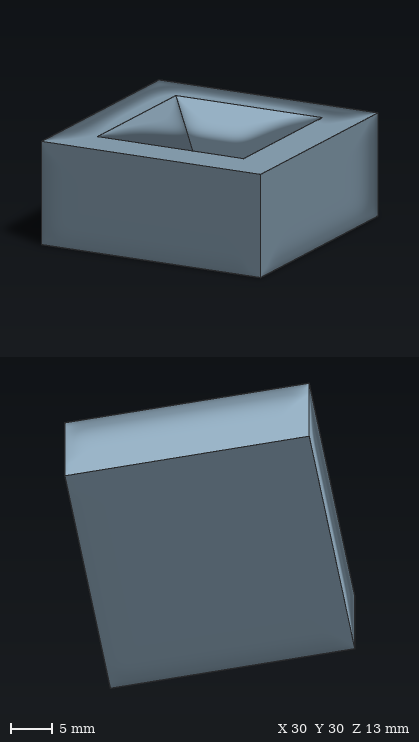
import cadquery as cq

block_side = 30.0
block_height = 13.0
rim_width = block_side / 6
recess_side = block_side - 2 * rim_width
recess_depth = recess_side / 2


def recess_pyramid(side, depth):
    """Solid pyramid with its square base on the block top and its apex pointing down."""
    half = side / 2
    base_z = block_height
    corners = [
        cq.Vector(-half, -half, base_z),
        cq.Vector(half, -half, base_z),
        cq.Vector(half, half, base_z),
        cq.Vector(-half, half, base_z),
    ]
    apex = cq.Vector(0, 0, base_z - depth)
    outlines = [corners]
    for i in range(4):
        outlines.append([corners[i], corners[(i + 1) % 4], apex])
    faces = [cq.Face.makeFromWires(cq.Wire.makePolygon(points, close=True)) for points in outlines]
    return cq.Solid.makeSolid(cq.Shell.makeShell(faces))


block = cq.Workplane("XY").box(block_side, block_side, block_height, centered=(True, True, False))
result = block.cut(cq.Workplane(obj=recess_pyramid(recess_side, recess_depth)))